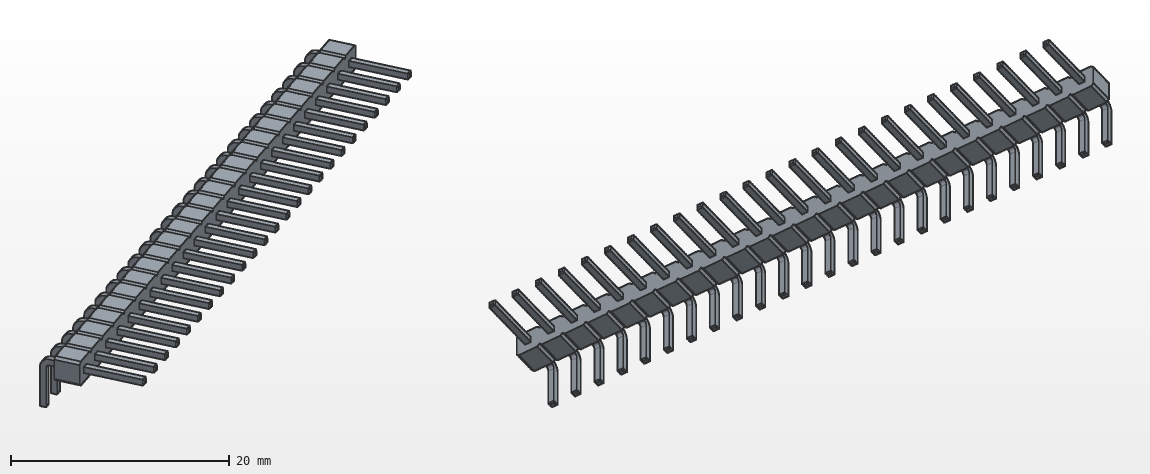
import cadquery as cq


pin_count = 25
pitch = 2.55
body_width = 2.55
body_height = 2.55
notch_depth = 0.25
pin_size = 0.65
pin_span = 10.35
body_offset = 1.85
total_height = 6.15
bend_inner_radius = 0.3
tip_length = 0.1
tip_inset = 0.14

half_body = body_height / 2
half_pitch = pitch / 2
half_pin = pin_size / 2
shoulder_z = half_body - notch_depth
leg_tip_z = half_body - total_height
bend_outer_radius = bend_inner_radius + pin_size
bend_z = half_pin - bend_outer_radius
row_start = -(pin_count - 1) * half_pitch
pin_places = [row_start + index * pitch for index in range(pin_count)]


def notched_body():
    """Plastic strip whose top and bottom are notched at every position boundary and cut off at both ends."""
    flat_y = half_pitch - notch_depth
    top_edge = [(row_start - half_pitch, shoulder_z)]
    for y in pin_places:
        top_edge += [(y - flat_y, half_body), (y + flat_y, half_body), (y + half_pitch, shoulder_z)]
    bottom_edge = [(y, -z) for y, z in reversed(top_edge)]
    return (
        cq.Workplane("YZ", origin=(body_offset, 0, 0))
        .polyline(top_edge + bottom_edge)
        .close()
        .extrude(body_width)
    )


def tapered_end(end_face):
    """Truncated pyramid that finishes a square pin end."""
    tip_size = pin_size - 2 * tip_inset
    return (
        end_face.workplane(centerOption="CenterOfMass")
        .rect(pin_size, pin_size)
        .workplane(offset=tip_length)
        .rect(tip_size, tip_size)
        .loft(combine=False)
    )


def bent_pin():
    """Square pin bent down at a right angle, with both ends tapered on all four sides."""
    middle = (
        cq.Workplane("XZ", origin=(0, half_pin, 0))
        .moveTo(0, leg_tip_z + tip_length)
        .lineTo(0, bend_z)
        .radiusArc((bend_outer_radius, half_pin), bend_outer_radius)
        .lineTo(pin_span - tip_length, half_pin)
        .lineTo(pin_span - tip_length, -half_pin)
        .lineTo(bend_outer_radius, -half_pin)
        .radiusArc((pin_size, bend_z), -bend_inner_radius)
        .lineTo(pin_size, leg_tip_z + tip_length)
        .close()
        .extrude(pin_size)
    )
    return middle.union(tapered_end(middle.faces(">X"))).union(tapered_end(middle.faces("<Z")))


pin = bent_pin()
result = notched_body()
for y in pin_places:
    result = result.union(pin.translate((0, y, 0)))